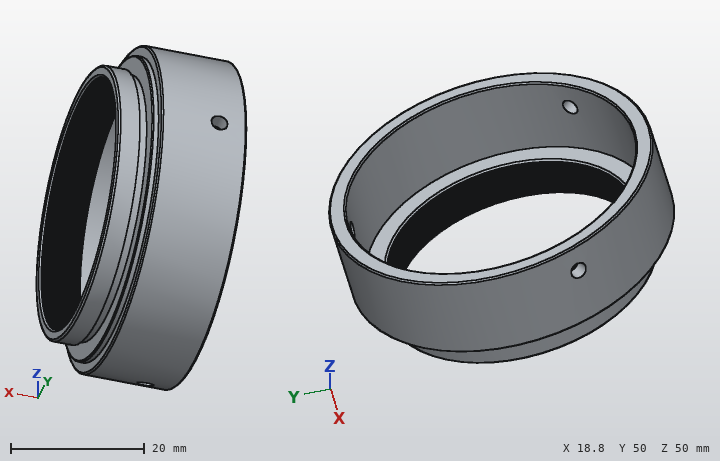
import cadquery as cq
import math

body_length = 13.3
step_end = 14.25
neck_end = 15.5
total_length = 18.8
socket_depth = 12.3

body_diameter = 50.0
step_diameter = 46.6
neck_diameter = 40.7
flange_diameter = 42.0

socket_diameter = 44.8
bore_diameter = 38.5

body_chamfer = 0.25
step_chamfer = 0.2
flange_chamfer = 0.3
socket_chamfer = 0.25
bore_chamfer = 0.3

groove_pitch = 0.25
groove_width = 0.1
groove_depth = 0.2

screw_hole_diameter = 2.5
screw_hole_position = 4.3
screw_hole_count = 3


def disc(diameter, start, end):
    """Solid cylinder on the X axis between two axial stations."""
    return cq.Workplane("YZ", origin=(start, 0, 0)).circle(diameter / 2).extrude(end - start)


def make_outside():
    """Stepped outside of the ring with its chamfered edges."""
    body = disc(body_diameter, 0, body_length).edges().chamfer(body_chamfer)
    step = disc(step_diameter, 0, step_end).faces(">X").edges().chamfer(step_chamfer)
    neck = disc(neck_diameter, 0, neck_end)
    flange = disc(flange_diameter, neck_end, total_length).faces(">X").edges().chamfer(flange_chamfer)
    return body.union(step).union(neck).union(flange)


def make_inside():
    """Socket and grooved bore as one revolved cutter."""
    socket_radius = socket_diameter / 2
    bore_radius = bore_diameter / 2
    groove_radius = bore_radius + groove_depth
    bore_start = socket_depth + bore_chamfer
    bore_end = total_length - bore_chamfer
    grooves_start = bore_start + groove_pitch - groove_width
    groove_count = math.floor((bore_end - bore_start) / groove_pitch)

    points = [
        (0, 0),
        (0, socket_radius + socket_chamfer),
        (socket_chamfer, socket_radius),
        (socket_depth, socket_radius),
        (socket_depth, bore_radius + bore_chamfer),
        (bore_start, bore_radius),
    ]
    for groove in range(groove_count):
        groove_start = grooves_start + groove * groove_pitch
        groove_end = groove_start + groove_width
        points += [
            (groove_start, bore_radius),
            (groove_start, groove_radius),
            (groove_end, groove_radius),
            (groove_end, bore_radius),
        ]
    points += [
        (bore_end, bore_radius),
        (total_length, bore_radius + bore_chamfer),
        (total_length, 0),
    ]
    return cq.Workplane("XY").polyline(points).close().revolve(360, (0, 0, 0), (1, 0, 0))


def make_screw_holes():
    """Radial hole cutters spaced evenly around X, the first one along +Y."""
    first_hole = (
        cq.Workplane("XZ", origin=(screw_hole_position, 0, 0))
        .circle(screw_hole_diameter / 2)
        .extrude(-body_diameter)
    )
    holes = cq.Workplane("XY")
    for index in range(screw_hole_count):
        angle = index * 360 / screw_hole_count
        holes = holes.add(first_hole.rotate((0, 0, 0), (1, 0, 0), angle))
    return holes.combine()


result = make_outside().cut(make_inside()).cut(make_screw_holes())